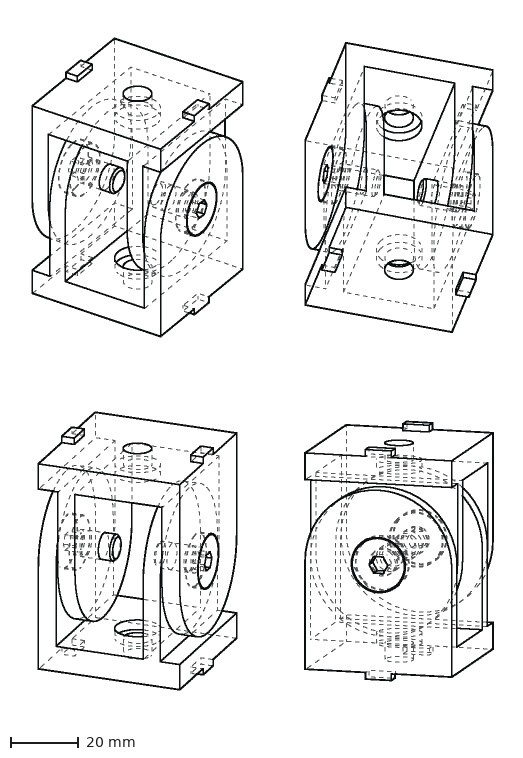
import cadquery as cq


width = 45.0
height = 69.0
half_width = width / 2
half_height = height / 2

tab_height = 2.0
tab_length = 4.0
tab_width = 8.0
plate_thickness = 8.0
plate_hole_diameter = 8.5
plate_counterbore_diameter = 13.5
plate_counterbore_depth = 3.05
outer_arm_thickness = 5.65
inner_arm_thickness = 5.45
arm_gap = 0.55

plate_top = half_height - tab_height
plate_bottom = plate_top - plate_thickness
inner_arm_outside = half_width - outer_arm_thickness - arm_gap

shank_diameter = 8.0
shank_tip_diameter = 6.6
tip_chamfer = (shank_diameter - shank_tip_diameter) / 2
screw_length = 15.95
head_diameter = 16.0
head_height = 4.0
counterbore_diameter = 16.55
socket_across_flats = 5.0
socket_depth = 4.0
socket_across_corners = socket_across_flats / 0.75 ** 0.5


def x_cylinder(diameter, x_start, length):
    """Cylinder on the pivot axis, running towards +X."""
    return cq.Workplane("YZ", origin=(x_start, 0, 0)).circle(diameter / 2).extrude(length)


def half_turn(body):
    """The same body turned half a turn about the Y axis."""
    return body.rotate((0, 0, 0), (0, 1, 0), 180)


def make_arm(x_start, thickness):
    """Arm hanging from the plate, with its free end rounded about the pivot."""
    return (
        cq.Workplane("YZ", origin=(x_start, 0, 0))
        .moveTo(-half_width, plate_bottom)
        .lineTo(-half_width, 0)
        .threePointArc((0, -half_width), (half_width, 0))
        .lineTo(half_width, plate_bottom)
        .close()
        .extrude(thickness)
    )


def make_fork():
    fork = (
        cq.Workplane("XY", origin=(0, 0, plate_bottom))
        .rect(width, width)
        .circle(plate_hole_diameter / 2)
        .extrude(plate_thickness)
    )
    counterbore = (
        cq.Workplane("XY", origin=(0, 0, plate_bottom))
        .circle(plate_counterbore_diameter / 2)
        .extrude(plate_counterbore_depth)
    )
    fork = fork.cut(counterbore)
    for side in (-1, 1):
        tab = (
            cq.Workplane("XY", origin=(side * (half_width - tab_length / 2), 0, plate_top))
            .rect(tab_length, tab_width)
            .extrude(tab_height)
        )
        fork = fork.union(tab)
    fork = fork.union(make_arm(-half_width, outer_arm_thickness))
    fork = fork.union(make_arm(inner_arm_outside - inner_arm_thickness, inner_arm_thickness))
    fork = fork.cut(x_cylinder(shank_diameter, -half_width, width))
    return fork.cut(x_cylinder(counterbore_diameter, -half_width, head_height))


def make_screw():
    shank = x_cylinder(shank_diameter, -half_width, screw_length).faces(">X").chamfer(tip_chamfer)
    screw = shank.union(x_cylinder(head_diameter, -half_width, head_height))
    socket = (
        cq.Workplane("YZ", origin=(-half_width, 0, 0))
        .polygon(6, socket_across_corners)
        .extrude(socket_depth)
    )
    return screw.cut(socket)


upper_fork = make_fork()
lower_fork = half_turn(upper_fork)

screws = []
left_screw = make_screw()
for screw in (left_screw, half_turn(left_screw)):
    screws.append(screw.val())

result = cq.Compound.makeCompound([upper_fork.val(), lower_fork.val(), *screws])